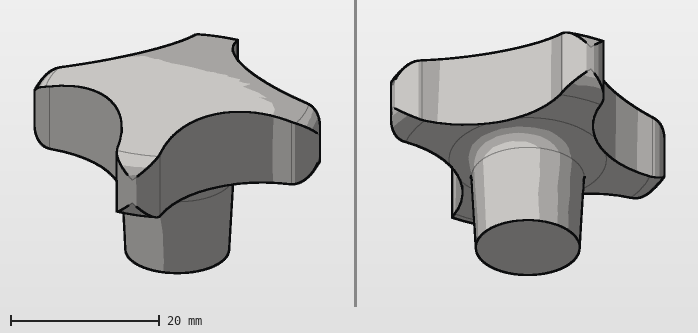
import cadquery as cq
import math


total_height = 26.0
stem_height = 14.0
stem_base_radius = 7.0
stem_taper_angle = math.radians(3.0)
flare_radius = 3.0
head_radius = 20.0
dome_radius = 61.0
rim_radius = 3.0
arm_tip_radius = 3.0
scallop_radius = 14.5
arm_count = 4


def turned_head():
    """Domed disc with rounded rim, before the arms are cut out."""
    rim_center = head_radius - rim_radius
    dome_center_z = total_height - dome_radius
    center_gap = dome_radius - rim_radius
    upper_rim_z = dome_center_z + math.sqrt(center_gap**2 - rim_center**2)
    lower_rim_z = stem_height + rim_radius

    rim_angle = math.asin(rim_center / center_gap)

    def dome_point(angle):
        return (dome_radius * math.sin(angle), dome_center_z + dome_radius * math.cos(angle))

    def rim_point(center_z, angle):
        return (rim_center + rim_radius * math.sin(angle), center_z + rim_radius * math.cos(angle))

    upper_middle = (rim_angle + math.pi / 2) / 2
    lower_middle = 3 * math.pi / 4
    return (
        cq.Workplane("XZ")
        .moveTo(0, stem_height)
        .lineTo(rim_center, stem_height)
        .threePointArc(rim_point(lower_rim_z, lower_middle), (head_radius, lower_rim_z))
        .lineTo(head_radius, upper_rim_z)
        .threePointArc(rim_point(upper_rim_z, upper_middle), dome_point(rim_angle))
        .threePointArc(dome_point(rim_angle / 2), (0, total_height))
        .close()
        .revolve(360, (0, 0), (0, 1))
    )


def star_prism():
    """Upright prism with rounded arms joined by circular scallops."""
    arm_step = 2 * math.pi / arm_count
    tip_center = head_radius - arm_tip_radius

    half_step = arm_step / 2
    radius_sum = scallop_radius + arm_tip_radius
    scallop_center = tip_center * math.cos(half_step) + math.sqrt(
        radius_sum**2 - (tip_center * math.sin(half_step)) ** 2
    )
    waist = scallop_center - scallop_radius
    waist_x = waist * math.cos(half_step)
    waist_y = waist * math.sin(half_step)

    share = arm_tip_radius / radius_sum
    tangent_x = tip_center + share * (scallop_center * math.cos(half_step) - tip_center)
    tangent_y = share * scallop_center * math.sin(half_step)

    def turned(x, y, step):
        c = math.cos(step * arm_step)
        s = math.sin(step * arm_step)
        return (x * c - y * s, x * s + y * c)

    outline = cq.Workplane("XY").moveTo(tangent_x, -tangent_y)
    for step in range(arm_count):
        arm_end = turned(head_radius, 0, step)
        scallop_start = turned(tangent_x, tangent_y, step)
        scallop_waist = turned(waist_x, waist_y, step)
        scallop_end = turned(tangent_x, -tangent_y, step + 1)
        outline = outline.threePointArc(arm_end, scallop_start)
        outline = outline.threePointArc(scallop_waist, scallop_end)
    return outline.close().extrude(total_height)


def flared_stem():
    """Tapered stem whose top flares tangentially into the head's underside."""
    flare_center_z = stem_height - flare_radius
    flare_start_z = flare_center_z + flare_radius * math.sin(stem_taper_angle)
    flare_start_radius = stem_base_radius + flare_start_z * math.tan(stem_taper_angle)
    flare_center = flare_start_radius + flare_radius * math.cos(stem_taper_angle)

    middle_angle = (stem_taper_angle + math.pi / 2) / 2
    flare_middle = (
        flare_center - flare_radius * math.cos(middle_angle),
        flare_center_z + flare_radius * math.sin(middle_angle),
    )
    return (
        cq.Workplane("XZ")
        .lineTo(stem_base_radius, 0)
        .lineTo(flare_start_radius, flare_start_z)
        .threePointArc(flare_middle, (flare_center, stem_height))
        .lineTo(0, stem_height)
        .close()
        .revolve(360, (0, 0), (0, 1))
    )


turned_body = turned_head().union(flared_stem())
result = turned_body.intersect(star_prism())